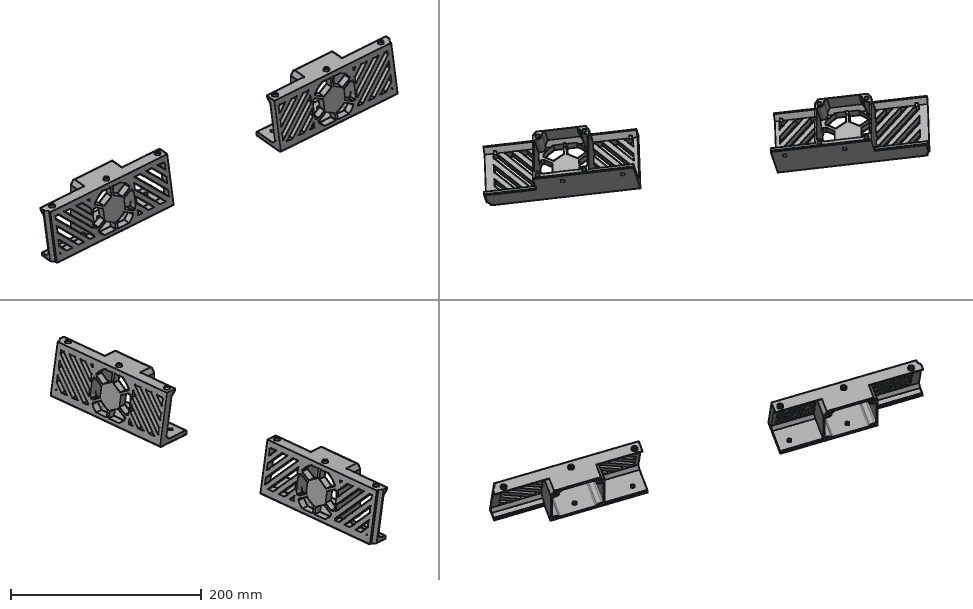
import cadquery as cq
import math

OVERALL_Y = 473.19
SKIRT_LENGTH = 163.3
INNER_END_Y = OVERALL_Y / 2 - SKIRT_LENGTH
DEPTH = 40.11
TOP_Z = 61.0
EDGE_CHAMFER = 1.2

PLATE_THICKNESS = 8.2
LEAN = 10.5

BEVEL_START = 6.8
BEVEL_END = 2.6
BEVEL_SETBACK = 3.3

FLANGE_X = 17.0
FLANGE_EDGE = 1.5
FLANGE_ROOT_Z = 54.2

FLOOR_THICKNESS = 5.2
LEDGE_X = 19.2
PLATE_FOOT = 4.0

FAN_SIZE = 60.0
FAN_HOLE_SPACING = 50.0
BOX_WALL = 1.8
BOX_BEVEL_INSET = 4.1
BOX_BEVEL_DROP = 6.0
CORNER_WEB = 11.0
BOX_CENTRE_Y = 77.3
BOX_CENTRE_Z = 29.2
BOX_START_Y = BOX_CENTRE_Y - FAN_SIZE / 2
BOX_END_Y = BOX_CENTRE_Y + FAN_SIZE / 2
CORNER_BOSS_DIAMETER = 9.0
BOSS_BLEND = 1.6
INSERT_DIAMETER = 4.7
INSERT_DEPTH = 8.0

GRILLE_RADIUS = 29.0
GRILLE_BOTTOM_Z = 5.5
GRILLE_TOP_Z = 55.4
HUB_WIDTH = 28.5
RIB_WIDTH = 3.0
RIB_ANGLES = (30, 90, 150)
CORNER_PAD_Y = 23.5
CORNER_PAD_Z = 11.5

SLOT_WIDTH = 5.5
SLOT_PITCH = 11.3
SLOT_TOP_Z = 53.7
SLOT_BOTTOM_Z = 9.2
INNER_RIM = 4.7
OUTER_RIM = 9.3
INNER_SLOT_Z = 12.4
OUTER_SLOT_Z = 17.9

PEG_X = 22.3
PEG_HEIGHT = 2.08
PEG_BASE_DIAMETER = 6.6
PEG_TOP_DIAMETER = 4.5
PEG_HOLE_DIAMETER = 3.4
PEG_HOLE_DEPTH = 10.0
PEG_YS = (7.1, BOX_CENTRE_Y, 151.7)
FLOOR_HOLE_X = 10.4
FLOOR_HOLE_DIAMETER = 4.5
FLOOR_HOLE_YS = (13.2, BOX_CENTRE_Y)


def outer_x(z):
    """X of the plate's outer face, which is widest just above its bottom chamfer."""
    return DEPTH - LEAN * (z - EDGE_CHAMFER) / (TOP_Z - EDGE_CHAMFER)


def inner_x(z):
    """X of the plate's inner face."""
    return outer_x(z) - PLATE_THICKNESS


def disc(plane, origin, diameter, length):
    """Cylinder starting at origin, along the plane's normal."""
    return cq.Workplane(plane, origin=origin).circle(diameter / 2).extrude(length)


def block_along_x(y0, y1, z0, z1):
    """Block from the fan face through the full depth."""
    return cq.Workplane("XY").box(DEPTH, y1 - y0, z1 - z0, centered=False).translate((0, y0, z0))


def make_shell():
    """Plate, flange and ledge: one section along the whole length, bevelled at the outer end."""
    plate_foot_z = FLOOR_THICKNESS + PLATE_FOOT
    section = [
        (LEDGE_X, 0),
        (outer_x(0), 0),
        (outer_x(TOP_Z), TOP_Z),
        (FLANGE_X, TOP_Z),
        (FLANGE_X, TOP_Z - FLANGE_EDGE),
        (inner_x(FLANGE_ROOT_Z), FLANGE_ROOT_Z),
        (inner_x(plate_foot_z), plate_foot_z),
        (inner_x(plate_foot_z) - PLATE_FOOT, FLOOR_THICKNESS),
        (LEDGE_X + EDGE_CHAMFER, FLOOR_THICKNESS),
        (LEDGE_X, FLOOR_THICKNESS - EDGE_CHAMFER),
    ]
    shell = cq.Workplane("XZ").polyline(section).close().extrude(-SKIRT_LENGTH)
    past_end = SKIRT_LENGTH + BEVEL_SETBACK
    past_face = outer_x(0) + BEVEL_END
    bevel = (
        cq.Workplane("XY")
        .polyline([
            (outer_x(0) - BEVEL_START, SKIRT_LENGTH),
            (outer_x(0) - BEVEL_END, SKIRT_LENGTH - BEVEL_SETBACK),
            (past_face, SKIRT_LENGTH - BEVEL_SETBACK),
            (past_face, past_end),
            (outer_x(0) - BEVEL_START, past_end),
        ])
        .close()
        .sweep(cq.Workplane("XZ").moveTo(outer_x(0), 0).lineTo(outer_x(TOP_Z), TOP_Z))
    )
    shell = shell.cut(bevel)
    return shell.faces("<Z").edges("not <Y").chamfer(EDGE_CHAMFER)


def make_fan_box():
    """Floor from the inner end to the far side of the box, with the still solid box on it."""
    floor = block_along_x(0, BOX_END_Y, 0, FLOOR_THICKNESS)
    box = (
        cq.Workplane("YZ")
        .polyline([
            (BOX_START_Y, 0),
            (BOX_END_Y, 0),
            (BOX_END_Y, TOP_Z - BOX_BEVEL_DROP),
            (BOX_END_Y - BOX_BEVEL_INSET, TOP_Z),
            (BOX_START_Y + BOX_BEVEL_INSET, TOP_Z),
            (BOX_START_Y, TOP_Z - BOX_BEVEL_DROP),
        ])
        .close()
        .extrude(DEPTH)
    )
    body = floor.union(box).faces("<X").edges("|Y").chamfer(EDGE_CHAMFER)
    return body.intersect(space_inside_plate())


def space_inside_plate():
    """Everything between the fan face and the plate's inner face."""
    outline = [(0, 0), (inner_x(0), 0), (inner_x(TOP_Z), TOP_Z), (0, TOP_Z)]
    return cq.Workplane("XZ").polyline(outline).close().extrude(-SKIRT_LENGTH)


def make_bore():
    """Hollow of the box, as far as the plate, leaving top corner webs and blended screw bosses."""
    bore = block_along_x(BOX_START_Y + BOX_WALL, BOX_END_Y - BOX_WALL, FLOOR_THICKNESS, TOP_Z - FLANGE_EDGE)
    bore = bore.edges("|X and >Z").chamfer(CORNER_WEB)
    for y, z in fan_holes():
        bore = bore.cut(disc("YZ", (0, y, z), CORNER_BOSS_DIAMETER, DEPTH))
    reach = CORNER_BOSS_DIAMETER / 2
    for y, z in fan_holes():
        near_boss = cq.selectors.BoxSelector((0, y - reach, z - reach), (DEPTH, y + reach, z + reach))
        bore = bore.edges("|X").edges(near_boss).fillet(BOSS_BLEND)
    flange_underside = (
        cq.Workplane("XZ")
        .polyline([
            (FLANGE_X, TOP_Z - FLANGE_EDGE),
            (inner_x(FLANGE_ROOT_Z), FLANGE_ROOT_Z),
            (DEPTH, FLANGE_ROOT_Z),
            (DEPTH, TOP_Z - FLANGE_EDGE),
        ])
        .close()
        .extrude(-SKIRT_LENGTH)
    )
    return bore.intersect(space_inside_plate()).cut(flange_underside)


def fan_holes():
    """(y, z) centres of the four fan screw holes."""
    half = FAN_HOLE_SPACING / 2
    return [(BOX_CENTRE_Y + y, BOX_CENTRE_Z + z) for y in (-half, half) for z in (-half, half)]


def make_grille():
    """Openings of the grille: a round fan window less its hub, six ribs and four corner pads."""
    centre = (0, BOX_CENTRE_Y, BOX_CENTRE_Z)
    window = disc("YZ", centre, 2 * GRILLE_RADIUS, DEPTH)
    window = window.intersect(block_along_x(BOX_START_Y + BOX_WALL, BOX_END_Y - BOX_WALL,
                                            GRILLE_BOTTOM_Z, GRILLE_TOP_Z))
    plane = cq.Workplane("YZ", origin=centre)
    hub_across_corners = HUB_WIDTH / math.cos(math.pi / 6)
    hub = plane.transformed(rotate=(0, 0, RIB_ANGLES[0])).polygon(6, hub_across_corners).extrude(DEPTH)
    window = window.cut(hub)
    for angle in RIB_ANGLES:
        rib = plane.transformed(rotate=(0, 0, angle)).rect(FAN_SIZE * 2, RIB_WIDTH).extrude(DEPTH)
        window = window.cut(rib)
    pad_size = FAN_SIZE / 2
    for y in (-1, 1):
        for z in (-1, 1):
            pad = (plane.center(y * (CORNER_PAD_Y + pad_size / 2), z * (CORNER_PAD_Z + pad_size / 2))
                   .rect(pad_size, pad_size).extrude(DEPTH))
            window = window.cut(pad)
    return window


def make_slots(y0, y1, rim_y, rim_z):
    """45 degree slots from y0 to y1, one of whose lower edges passes through (rim_y, rim_z)."""
    rise = SLOT_WIDTH * math.sqrt(2)
    pitch = SLOT_PITCH * math.sqrt(2)
    count = math.ceil((y1 - y0 + SLOT_TOP_Z) / pitch)
    bands = cq.Workplane("YZ")
    for i in range(-count, count + 1):
        z0 = rim_z + i * pitch + y0 - rim_y
        z1 = rim_z + i * pitch + y1 - rim_y
        bands = bands.polyline([(y0, z0), (y1, z1), (y1, z1 + rise), (y0, z0 + rise)]).close()
    return block_along_x(y0, y1, SLOT_BOTTOM_Z, SLOT_TOP_Z).intersect(bands.extrude(DEPTH))


def make_peg(y):
    """Tapered peg standing on the flange."""
    return (cq.Workplane("XY", origin=(PEG_X, y, TOP_Z)).circle(PEG_BASE_DIAMETER / 2)
            .workplane(offset=PEG_HEIGHT).circle(PEG_TOP_DIAMETER / 2).loft())


def make_skirt():
    """One complete skirt, with its inner end at Y = 0."""
    skirt = make_shell().union(make_fan_box()).cut(make_bore()).cut(make_grille())
    skirt = skirt.cut(make_slots(INNER_RIM, BOX_START_Y, INNER_RIM, INNER_SLOT_Z))
    outer_rim_y = SKIRT_LENGTH - OUTER_RIM
    skirt = skirt.cut(make_slots(BOX_END_Y, outer_rim_y, outer_rim_y, OUTER_SLOT_Z))
    for y, z in fan_holes():
        skirt = skirt.cut(disc("YZ", (0, y, z), INSERT_DIAMETER, INSERT_DEPTH))
    for y in PEG_YS:
        hole = disc("XY", (PEG_X, y, TOP_Z + PEG_HEIGHT), PEG_HOLE_DIAMETER, -PEG_HOLE_DEPTH)
        skirt = skirt.union(make_peg(y)).cut(hole)
    for y in FLOOR_HOLE_YS:
        skirt = skirt.cut(disc("XY", (FLOOR_HOLE_X, y, 0), FLOOR_HOLE_DIAMETER, FLOOR_THICKNESS))
    return skirt


left_skirt = make_skirt().translate((0, INNER_END_Y, 0))
right_skirt = left_skirt.mirror("XZ")
result = cq.Compound.makeCompound([left_skirt.val(), right_skirt.val()])